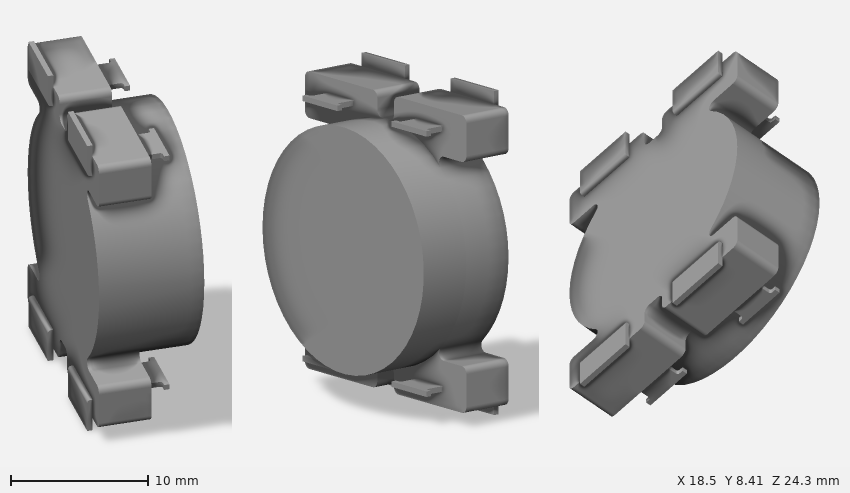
import cadquery as cq

body_diameter = 18.5
body_radius = body_diameter / 2
body_depth = 8.0
lug_depth = 3.99
overall_height = 24.3

lug_width = body_diameter
pad_overhang = 1.0
lug_top = overall_height / 2 - pad_overhang
lug_height = 3.5
lug_bottom = lug_top - lug_height
corner_radius = 0.5
slot_width = 1.92

sheet_thickness = 0.41
terminal_spacing = 10.2
pad_width = 5.0
pad_height = 2.6
pad_inner = overall_height / 2 - pad_height
bend_radius = 0.25
relief_gap = 0.05
leg_width = 3.0
leg_length = 2.0
head_width = 4.0
neck_radius = 0.2


def box_between(x_range, y_range, z_range):
    """Box given by its lower and upper limits along each axis."""
    lower, upper = zip(x_range, y_range, z_range)
    size = [high - low for low, high in zip(lower, upper)]
    return cq.Workplane("XY").box(*size, centered=False).translate(lower)


def centred(middle, width):
    return (middle - width / 2, middle + width / 2)


def disc(depth):
    return cq.Workplane("XZ").circle(body_radius).extrude(-depth)


def mounting_plate():
    """Front half of the body: a disc with slotted lug plates, edges rounded."""
    plate = disc(lug_depth)
    for side in (-1, 1):
        z_range = sorted((side * lug_bottom, side * lug_top))
        plate = plate.union(box_between(centred(0, lug_width), (0, lug_depth), z_range))
    for side in (-1, 1):
        z_range = sorted((side * body_radius, side * lug_top))
        plate = plate.cut(box_between(centred(0, slot_width), (0, lug_depth), z_range))
    z_low = lug_bottom - corner_radius
    z_high = lug_top + corner_radius
    for z_range in ((z_low, z_high), (-z_high, -z_low)):
        lug_zone = cq.selectors.BoxSelector(
            (-lug_width, 0, z_range[0]), (lug_width, lug_depth, z_range[1])
        )
        plate = plate.edges("|Y").edges(lug_zone).fillet(corner_radius)
    return plate


def bend_relief(x):
    """Shallow recess in the mounting face around the bend of an upper pad."""
    width = pad_width + 2 * relief_gap
    return box_between(
        centred(x, width), (0, sheet_thickness), (pad_inner, pad_inner + sheet_thickness)
    )


def terminal(x):
    """Upper terminal: a front pad bent into a leg that ends in a T-shaped head."""
    pad = box_between(
        centred(x, pad_width), (-sheet_thickness, 0), (pad_inner, overall_height / 2)
    )
    pad = pad.edges("|X and <Y and <Z").fillet(bend_radius)

    leg_z = (pad_inner, pad_inner + sheet_thickness)
    bend = box_between(centred(x, pad_width), (0, sheet_thickness), leg_z)

    tip = lug_depth + leg_length
    head_base = tip - sheet_thickness
    leg = box_between(centred(x, leg_width), (sheet_thickness, tip), leg_z)
    leg = leg.union(box_between(centred(x, head_width), (head_base, tip), leg_z))
    neck_zone = cq.selectors.BoxSelector(
        (x - leg_width / 2 - neck_radius, head_base - neck_radius, leg_z[0]),
        (x + leg_width / 2 + neck_radius, head_base + neck_radius, leg_z[1]),
    )
    leg = leg.edges("|Z").edges(neck_zone).fillet(neck_radius)
    return pad.union(bend).union(leg)


result = disc(body_depth).union(mounting_plate())
for x in (-terminal_spacing / 2, terminal_spacing / 2):
    recess = bend_relief(x)
    upper_terminal = terminal(x)
    result = result.cut(recess).cut(recess.mirror("XY"))
    result = result.union(upper_terminal).union(upper_terminal.mirror("XY"))